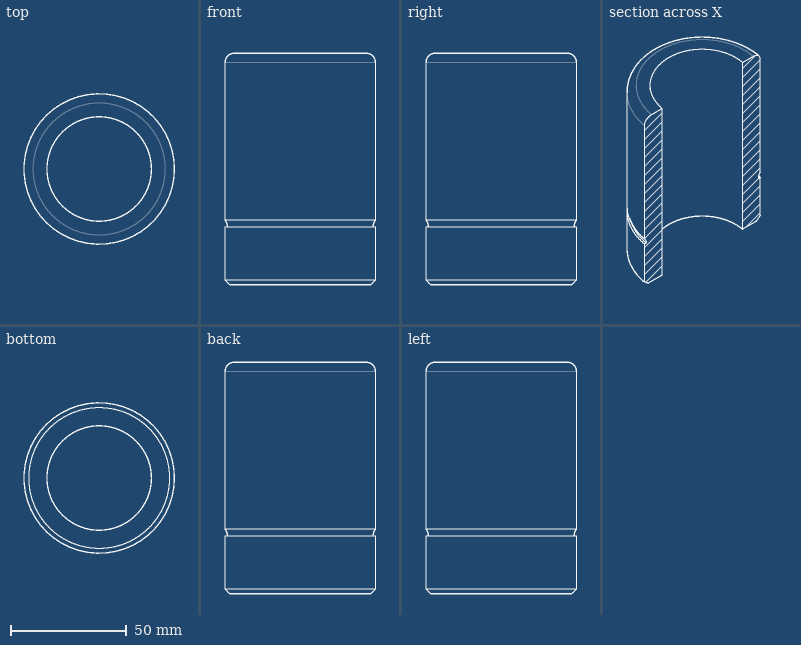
import cadquery as cq
import math

length = 100.0
outer_radius = 32.5
bore_radius = 22.5
top_round = 4.0
bottom_chamfer = 2.1
groove_bottom = 25.0
groove_width = 3.0
groove_depth = 1.0

groove_top = groove_bottom + groove_width
groove_floor_radius = outer_radius - groove_depth
wall_radius = (groove_width**2 + groove_depth**2) / (2 * groove_depth)
half_angle = math.asin(groove_width / wall_radius) / 2
wall_middle = (
    groove_floor_radius + wall_radius * (1 - math.cos(half_angle)),
    groove_bottom + wall_radius * math.sin(half_angle),
)

round_inset = top_round * (1 - math.sqrt(0.5))
round_middle = (outer_radius - round_inset, length - round_inset)

section = (
    cq.Workplane("XZ")
    .moveTo(bore_radius, 0)
    .lineTo(outer_radius - bottom_chamfer, 0)
    .lineTo(outer_radius, bottom_chamfer)
    .lineTo(outer_radius, groove_bottom)
    .lineTo(groove_floor_radius, groove_bottom)
    .threePointArc(wall_middle, (outer_radius, groove_top))
    .lineTo(outer_radius, length - top_round)
    .threePointArc(round_middle, (outer_radius - top_round, length))
    .lineTo(bore_radius, length)
    .close()
)

result = section.revolve(360, (0, 0, 0), (0, 1, 0))